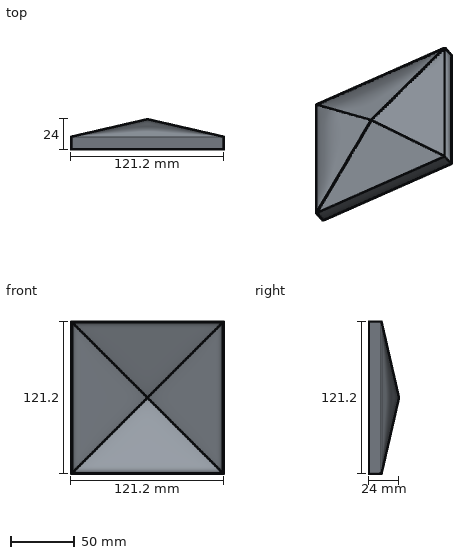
import cadquery as cq
import math

side = 121.2
depth = 24.0
skirt_depth = 10.0
wall = 1.0
edge_radius = 1.0

half_side = side / 2
half_inner = half_side - wall
skirt_front = -depth / 2
skirt_back = skirt_front + skirt_depth
roof_rise = depth - skirt_depth
roof_angle = math.atan2(roof_rise, half_side)
inner_rise = half_inner * math.tan(roof_angle)
inner_back = skirt_back + wall * math.tan(roof_angle) - wall / math.cos(roof_angle)


def square_block(half, start, end):
    """Square prism centred on the Y axis, from Y = start to Y = end."""
    return cq.Workplane("XY").box(2 * half, end - start, 2 * half).translate((0, (start + end) / 2, 0))


def pyramid(half, base, rise):
    """Square pyramid on the plane Y = base, its apex pointing to +Y."""
    corners = [cq.Vector(x, base, z) for x, z in ((-half, -half), (half, -half), (half, half), (-half, half))]
    apex = cq.Vector(0, base + rise, 0)
    faces = [cq.Face.makeFromWires(cq.Wire.makePolygon(corners, close=True))]
    for start, end in zip(corners, corners[1:] + corners[:1]):
        faces.append(cq.Face.makeFromWires(cq.Wire.makePolygon([start, end, apex], close=True)))
    return cq.Workplane(cq.Solid.makeSolid(cq.Shell.makeShell(faces)))


skirt = square_block(half_side, skirt_front, skirt_back)
outer = skirt.union(pyramid(half_side, skirt_back, roof_rise))
outer = outer.edges("|Y or (|X and (not <Y)) or (|Z and (not <Y))").fillet(edge_radius)

hollow = square_block(half_inner, skirt_front, inner_back)
hollow = hollow.union(pyramid(half_inner, inner_back, inner_rise))

result = outer.cut(hollow)